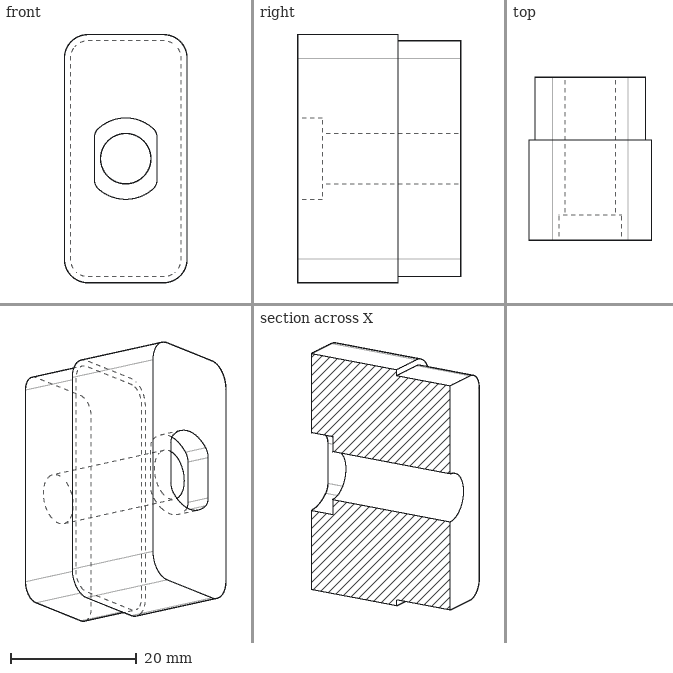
import cadquery as cq

front_width = 19.6
height = 39.6
front_depth = 16.0
corner_radius = 3.8

total_depth = 26.0
step = 1.0
rear_depth = total_depth - front_depth

hole_diameter = 8.0
recess_diameter = 13.0
recess_width = 9.98
recess_depth = 4.0
recess_corner_radius = 1.98


def block(inset, depth, front_y):
    """Rounded block with its outline inset, running from front_y towards +Y."""
    return (
        cq.Workplane("XZ", origin=(0, front_y, 0))
        .rect(front_width - 2 * inset, height - 2 * inset)
        .extrude(-depth)
        .edges("|Y")
        .fillet(corner_radius - inset)
    )


def recess():
    """Round recess cut by two upright flats, with softened corners."""
    disc = cq.Workplane("XZ").circle(recess_diameter / 2).extrude(-recess_depth)
    flats = cq.Workplane("XZ").rect(recess_width, recess_diameter).extrude(-recess_depth)
    return disc.intersect(flats).edges("|Y").edges("<X or >X").fillet(recess_corner_radius)


hole = cq.Workplane("XZ").circle(hole_diameter / 2).extrude(-total_depth)

body = block(0, front_depth, 0).union(block(step, rear_depth, front_depth))
result = body.cut(recess()).cut(hole)